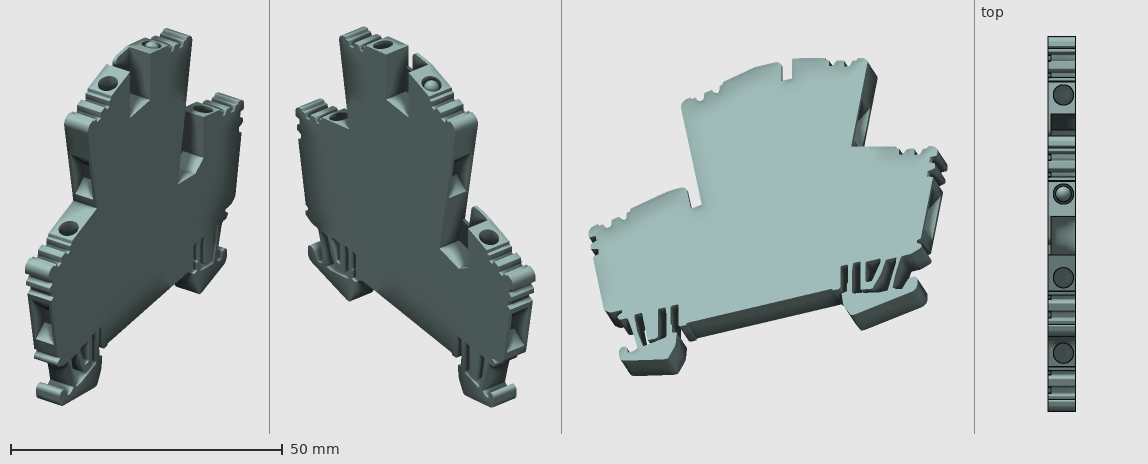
import cadquery as cq
import math


thickness = 5.1
overall_length = 69.1
overall_height = 62.2
skin = 0.6
half_thickness = thickness / 2
skin_inner_x = -half_thickness + skin

top_angle = math.radians(15)
wall_angle = math.radians(10)
top_slope = math.tan(top_angle)
wall_slope = math.tan(wall_angle)

shoulder_length = 8.2
lower_corner_y = overall_length / 2 - shoulder_length
lower_corner_z = 36.4
tower_center_y = -2.2
upper_corner_offset = 10.2
upper_corner_z = 60.5
lower_left = (lower_corner_y, lower_corner_z, 1)
lower_right = (-lower_corner_y, lower_corner_z, -1)
upper_left = (tower_center_y + upper_corner_offset, upper_corner_z, 1)
upper_right = (tower_center_y - upper_corner_offset, upper_corner_z, -1)
lower_shoulders = [lower_left, lower_right]
shoulders = lower_shoulders + [upper_left, upper_right]

tip_radius = 1.5
tip_turn = math.pi / 2 - top_angle + wall_angle
tip_bulge = math.cos(top_angle) * math.tan(tip_turn / 2) + math.sin(top_angle) - 1
tip_outwards = shoulder_length + tip_radius * tip_bulge
tip_start_outwards = 6.35
tip_start_drop = 1.7
tip_drop = tip_start_drop + top_slope * (tip_outwards - tip_start_outwards)

corner_lead = 0.15
tip_lip_drop = 4.35
tip_lip_outwards = tip_outwards - wall_slope * (tip_lip_drop - tip_drop)

top_comb = [
    (-corner_lead, -corner_lead * top_slope, 0), (0, 0.55, 0), (0.6, 0.7, 0.1),
    (0.6, 1.85, 0.15), (1.45, 2.1, 0.15), (2.15, 1.2, 0.3), (3.6, 1.5, 0.2),
    (3.65, 2.75, 0.15), (4.85, 3.0, 0.15), (5.3, 2.0, 0.2), (6.0, 2.2, 0),
    (tip_start_outwards, tip_start_drop, 0.15), (tip_outwards, tip_drop, tip_radius),
]
side_comb = [
    (tip_lip_outwards, tip_lip_drop, 0.15), (7.0, tip_lip_drop, 0.15), (6.8, 5.5, 0.2),
    (7.75, 6.1, 0.3), (7.75, 7.1, 0.3), (6.4, 7.45, 0), (6.35, 8.7, 0), (7.3, 9.05, 0),
]
top_groove_floors = [((0.6, 1.85), (1.45, 2.1)), ((3.65, 2.75), (4.85, 3.0))]
side_groove_floors = [((7.0, tip_lip_drop), (6.8, 5.5)), ((6.4, 7.45), (6.35, 8.7))]
groove_bevel_depth = 0.2

right_wall_foot_z = 38.75
left_slot_z = 33.5
left_recess_z = 28.3
upper_slot_left_y = -3.65
upper_slot_right_y = -5.7
upper_slot_z = 57.6
upper_recess_z = 52.15

skin_terminal_top_z = 38.55
skin_terminal_end_y = 15.2
skin_crown_radius = 13.8
skin_end_radius = 1.25
left_slot_corner = (14.2, 33.15)

lower_block_end_y = 20.25
upper_block_end_y = 1.4
recess_valley_y = 17.3
recess_ramp_slope = math.tan(math.radians(32))

hole_diameter = 3.7
hole_depth = 5.5
hole_x = skin / 2
lower_hole_y = 23.75
upper_left_hole_y = 5.5
upper_right_hole_y = -9.9
screw_radius = 1.45
screw_top_z = 61.7

funnel_back_outwards = 2.35
funnel_back_top_drop = 15.0
funnel_back_bottom_drop = 17.9
funnel_mouth_outwards = shoulder_length + 0.7
funnel_roof_slope = math.tan(math.radians(45))
funnel_floor_slope = math.tan(math.radians(34))
funnel_width = thickness - 2 * skin

left_foot = [
    (31.4, 14.5, 1.4), (30.1, 13.6, 1.05), (27.9, 13.6, 0), (27.9, 13.0, 0),
    (29.0, 12.35, 0.4), (28.3, 11.5, 0.2), (26.8, 11.5, 0.55), (25.75, 8.15, 62.15), (24.8, 4.1, 0.2),
    (25.55, 3.5, 0.35), (26.65, 3.5, 0), (27.1, 5.1, 0.55), (28.45, 5.1, 0.8), (28.45, 2.1, 1.5),
    (19.6, 0, 1.25), (18.8, 0, 0.3), (17.3, 2.6, 3.45), (17.0, 5.5, 0.2), (17.95, 5.7, 0),
    (17.95, 7.4, 0), (18.2, 7.75, 0), (18.2, 11.9, 0.35), (16.7, 11.9, 0.3), (16.7, 6.7, 0.5),
    (15.2, 6.7, 0), (15.05, 7.1, 0),
]
right_foot = [
    (-13.7, 7.1, 0), (-13.8, 6.7, 0), (-15.3, 6.7, 0.5), (-15.3, 11.9, 0.3), (-16.8, 11.9, 0.35),
    (-16.8, 7.75, 0), (-16.6, 7.4, 0), (-16.6, 5.7, 0), (-15.55, 5.5, 0.2), (-15.9, 2.6, 3.45),
    (-17.4, 0, 0.3), (-18.2, 0, 1.25), (-30.5, 2.35, 1.5), (-30.5, 5.5, 0.8), (-28.9, 5.5, 1.4),
    (-27.5, 3.3, 0), (-26.45, 3.5, 0.35), (-25.6, 4.15, 0.2), (-26.2, 7.25, 34.55), (-27.35, 10.85, 0.4),
    (-29.2, 10.85, 1.4), (-31.35, 11.75, 0.6), (-31.35, 12.6, 0.6), (-30.45, 13.05, 0),
    (-30.45, 13.7, 0), (-31.2, 13.9, 0),
]
left_window = [
    (25.5, 11.9, 0.3), (23.9, 11.9, 0.2), (23.6, 10.0, 0), (22.8, 5.25, 0.2), (21.15, 5.25, 0),
    (20.7, 5.65, 0.15), (20.7, 11.9, 0.15), (19.3, 11.9, 0.2), (19.05, 10.0, 0), (19.05, 5.0, 0.55),
    (23.7, 4.15, 0.3), (24.8, 7.7, 6.9),
]
right_window = [
    (-17.8, 11.9, 0.3), (-19.3, 11.9, 0.15), (-19.3, 5.4, 0.2), (-21.6, 5.0, 0.35),
    (-23.3, 7.8, 2.1), (-24.3, 10.85, 0.2), (-26.4, 10.85, 0), (-26.3, 9.75, 0),
    (-24.65, 3.7, 0), (-23.15, 3.7, 0.55), (-17.6, 5.0, 0.55), (-17.6, 10.0, 0),
]
right_small_window = [
    (-20.3, 11.5, 0.2), (-23.2, 11.5, 0.2), (-23.2, 10.5, 0.7), (-21.55, 6.8, 0.2),
    (-20.3, 6.8, 0.4),
]
windows = [left_window, right_window, right_small_window]


def placed(shoulder, outwards, drop):
    """Y and Z of a point given relative to a shoulder corner."""
    corner_y, corner_z, side = shoulder
    return corner_y + side * outwards, corner_z - drop


def comb_points(shoulder, profile):
    """Outline corners of a comb profile laid out from a shoulder corner."""
    return [(*placed(shoulder, outwards, drop), radius) for outwards, drop, radius in profile]


def top_z(shoulder, y):
    """Height of a terminal's sloped top at the given Y."""
    corner_y, corner_z, side = shoulder
    return corner_z + top_slope * side * (corner_y - y)


def wall_foot(shoulder, foot_z):
    """Point on the leaning end wall below a shoulder at the given height."""
    drop = shoulder[1] - foot_z
    return placed(shoulder, tip_outwards - wall_slope * (drop - tip_drop), drop)


def rounded_profile(corners):
    """Closed YZ profile through (Y, Z, radius) corners, each rounded by its own radius."""
    arcs = []
    for i, (y, z, radius) in enumerate(corners):
        corner = cq.Vector(y, z)
        last_y, last_z, _ = corners[i - 1]
        next_y, next_z, _ = corners[(i + 1) % len(corners)]
        to_last = (cq.Vector(last_y, last_z) - corner).normalized()
        to_next = (cq.Vector(next_y, next_z) - corner).normalized()
        half_angle = to_last.getAngle(to_next) / 2
        reach = radius / math.tan(half_angle)
        middle_gap = radius / math.sin(half_angle) - radius
        middle = corner + (to_last + to_next).normalized() * middle_gap
        arcs.append((radius, corner + to_last * reach, middle, corner + to_next * reach))
    first_point = arcs[0][1]
    profile = cq.Workplane("YZ").moveTo(first_point.x, first_point.y)
    for i, (radius, start, middle, end) in enumerate(arcs):
        if i > 0:
            profile = profile.lineTo(start.x, start.y)
        if radius > 0:
            profile = profile.threePointArc((middle.x, middle.y), (end.x, end.y))
    return profile.close()


def slab(corners, x_from, x_to):
    """Rounded profile extruded between two X positions."""
    return rounded_profile(corners).extrude(x_to - x_from).translate((x_from, 0, 0))


def housing_outline(upper_slot_floor_z, upper_end, left_slot):
    """Outline from the upper left shoulder anticlockwise, in Y and Z, round the housing.

    upper_end runs from the upper slot floor up to the tower top, and left_slot runs from the
    foot of the left tower wall up to the top of the lower left terminal.
    """
    full_comb = top_comb + side_comb
    return (
        comb_points(upper_left, top_comb)
        + left_slot
        + comb_points(lower_left, full_comb)
        + left_foot
        + right_foot
        + comb_points(lower_right, full_comb)[::-1]
        + [(*wall_foot(upper_right, right_wall_foot_z), 0)]
        + comb_points(upper_right, top_comb)[::-1]
        + [(upper_slot_right_y, overall_height, 0), (upper_slot_right_y, upper_slot_floor_z, 0)]
        + upper_end
    )


tower_crest_y = upper_left[0] - (overall_height - upper_corner_z) / top_slope
tower_crest = (tower_crest_y, overall_height, 0)
skin_crest_y = lower_corner_y - (skin_terminal_top_z - lower_corner_z) / top_slope


def skin_outline():
    """The skin: rounded terminal ends and narrow, shallow slots."""
    upper_end = [
        (upper_slot_left_y, upper_slot_z, 0),
        (upper_slot_left_y, overall_height, skin_end_radius),
        tower_crest,
    ]
    left_slot = [
        (*wall_foot(upper_left, left_slot_z), 0),
        (*left_slot_corner, 0),
        (skin_terminal_end_y, skin_terminal_top_z, skin_end_radius),
        (skin_crest_y, skin_terminal_top_z, skin_crown_radius),
    ]
    return housing_outline(upper_slot_z, upper_end, left_slot)


def block_outline():
    """The blocks behind the skin: flat terminal ends and wide, deep recesses."""
    upper_end = [
        (upper_block_end_y, upper_recess_z, 0),
        (upper_block_end_y, overall_height, 0),
        tower_crest,
    ]
    foot_y, foot_z = wall_foot(upper_left, left_recess_z)
    valley_z = foot_z - wall_slope * (recess_valley_y - foot_y)
    ramp_top_z = valley_z + recess_ramp_slope * (lower_block_end_y - recess_valley_y)
    left_slot = [
        (foot_y, foot_z, 0),
        (recess_valley_y, valley_z, 0),
        (lower_block_end_y, ramp_top_z, 0),
        (lower_block_end_y, top_z(lower_left, lower_block_end_y), 0),
    ]
    return housing_outline(upper_recess_z, upper_end, left_slot)


def groove_bevel(shoulder, start, end):
    """Wedge that deepens a label groove across the skin, towards the -X face."""
    start_point = cq.Vector(skin_inner_x, *placed(shoulder, *start))
    run = cq.Vector(skin_inner_x, *placed(shoulder, *end)) - start_point
    plane = cq.Plane(origin=start_point, xDir=(1, 0, 0), normal=run)
    depth = shoulder[2] * groove_bevel_depth
    wedge = cq.Workplane(plane).polyline([(0, 0), (-skin, 0), (-skin, depth)]).close()
    return wedge.extrude(run.Length)


def wire_funnel(shoulder):
    """Tapered wire entry cut into the end wall below a shoulder."""
    depth = funnel_mouth_outwards - funnel_back_outwards
    corners = [
        (funnel_mouth_outwards, funnel_back_top_drop - funnel_roof_slope * depth, 0),
        (funnel_back_outwards, funnel_back_top_drop, 0),
        (funnel_back_outwards, funnel_back_bottom_drop, 0),
        (funnel_mouth_outwards, funnel_back_bottom_drop + funnel_floor_slope * depth, 0),
    ]
    return slab(comb_points(shoulder, corners), -funnel_width / 2, funnel_width / 2)


def screw_hole(shoulder, hole_y):
    """Blind vertical hole in a terminal top, cut from its floor up past the top."""
    floor_z = top_z(shoulder, hole_y) - hole_depth
    hole = cq.Workplane("XY", origin=(hole_x, hole_y, floor_z)).circle(hole_diameter / 2)
    return hole.extrude(2 * hole_depth)


def make_housing():
    body = slab(skin_outline(), -half_thickness, skin_inner_x)
    body = body.union(slab(block_outline(), skin_inner_x, half_thickness))
    for window in windows:
        body = body.cut(slab(window, -half_thickness, half_thickness))
    for shoulder in shoulders:
        body = body.cut(wire_funnel(shoulder))
        for start, end in top_groove_floors:
            body = body.cut(groove_bevel(shoulder, start, end))
    for shoulder in lower_shoulders:
        for start, end in side_groove_floors:
            body = body.cut(groove_bevel(shoulder, start, end))
    body = body.cut(screw_hole(lower_left, lower_hole_y))
    body = body.cut(screw_hole(lower_right, -lower_hole_y))
    body = body.cut(screw_hole(upper_left, upper_left_hole_y))
    return body.cut(screw_hole(upper_right, upper_right_hole_y))


def make_screw():
    """Round-headed pin standing on the floor of the upper left hole."""
    floor_z = top_z(upper_left, upper_left_hole_y) - hole_depth
    dome_z = screw_top_z - screw_radius
    half_profile = (
        cq.Workplane("XZ", origin=(hole_x, upper_left_hole_y, 0))
        .moveTo(0, floor_z)
        .lineTo(screw_radius, floor_z)
        .lineTo(screw_radius, dome_z)
        .radiusArc((0, screw_top_z), -screw_radius)
        .close()
    )
    return half_profile.revolve(360, (0, 0, 0), (0, 1, 0))


housing = make_housing()
screw = make_screw()
result = cq.Compound.makeCompound([housing.val(), screw.val()])